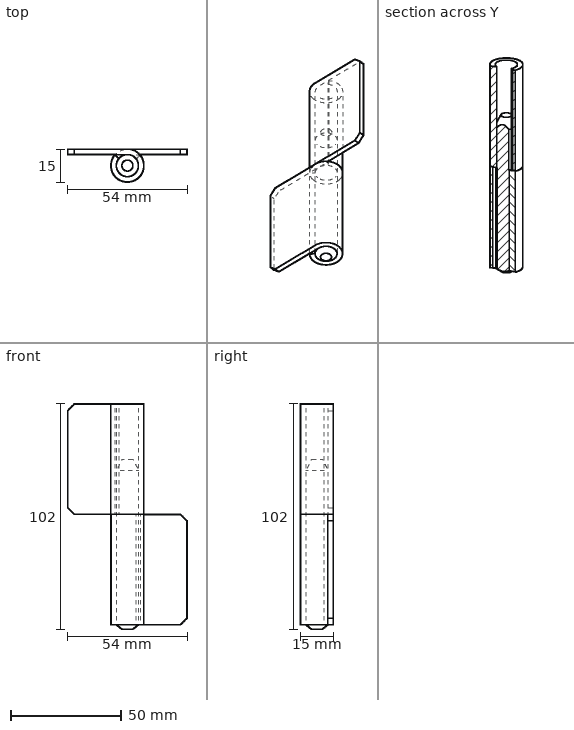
import cadquery as cq
import math

leaf_height = 50.0
leaf_reach = 27.0
plate_thickness = 2.5
corner_chamfer = 3.0
knuckle_radius = 7.5
bore_radius = knuckle_radius - plate_thickness
roll_start_angle = 90.0
roll_end_angle = 140.0 - 360.0
roll_middle_angle = (roll_start_angle + roll_end_angle) / 2

pin_radius = bore_radius
tip_radius = pin_radius / 2
lower_taper_length = 2.0
upper_taper_length = 5.0
pin_top = 1.5 * leaf_height


def point_at(radius, angle):
    """Point in the XY plane at a radius and angle (degrees) about the pin axis."""
    return (
        radius * math.cos(math.radians(angle)),
        radius * math.sin(math.radians(angle)),
    )


def make_leaf():
    """Leaf standing on Z = 0 with its plate toward -X and its roll round the Z axis."""
    leaf = (
        cq.Workplane("XY")
        .moveTo(-leaf_reach, knuckle_radius)
        .lineTo(0, knuckle_radius)
        .threePointArc(point_at(knuckle_radius, roll_middle_angle),
                       point_at(knuckle_radius, roll_end_angle))
        .lineTo(*point_at(bore_radius, roll_end_angle))
        .threePointArc(point_at(bore_radius, roll_middle_angle), (0, bore_radius))
        .lineTo(-leaf_reach, bore_radius)
        .close()
        .extrude(leaf_height)
    )
    return leaf.faces("<X").edges("|Y").chamfer(corner_chamfer)


def make_pin():
    """Pin on the Z axis, its lower taper standing out below Z = 0."""
    return (
        cq.Workplane("XZ")
        .moveTo(0, -lower_taper_length)
        .lineTo(tip_radius, -lower_taper_length)
        .lineTo(pin_radius, 0)
        .lineTo(pin_radius, pin_top - upper_taper_length)
        .lineTo(tip_radius, pin_top)
        .lineTo(0, pin_top)
        .close()
        .revolve(360, (0, 0, 0), (0, 1, 0))
    )


upper_leaf = make_leaf().translate((0, 0, leaf_height))
lower_leaf = make_leaf().mirror("YZ")
pin = make_pin()

result = cq.Compound.makeCompound([upper_leaf.val(), lower_leaf.val(), pin.val()])